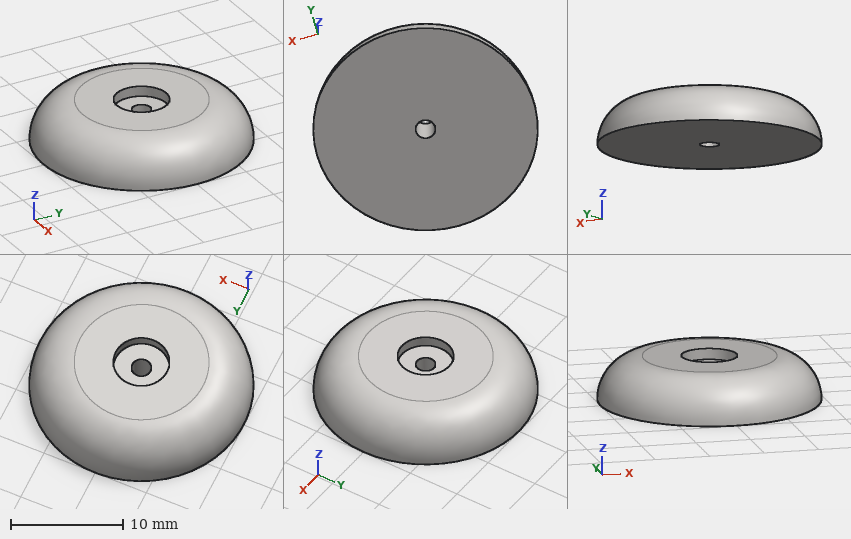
import cadquery as cq

outer_diameter = 20
height = 4
screw_hole_diameter = 1.75
counterbore_diameter = 5
counterbore_depth = 1

outer_radius = outer_diameter / 2
edge_radius = height
flat_top_radius = outer_radius - edge_radius


def rounded_disc():
    """Revolve the half section, whose edge is a quarter circle, about Z."""
    arc_rise = edge_radius * 0.5 ** 0.5
    return (
        cq.Workplane("XZ")
        .lineTo(outer_radius, 0)
        .threePointArc((flat_top_radius + arc_rise, arc_rise), (flat_top_radius, height))
        .lineTo(0, height)
        .close()
        .revolve(360, (0, 0), (0, 1))
    )


result = (
    rounded_disc()
    .faces(">Z")
    .workplane(origin=(0, 0, height))
    .cboreHole(screw_hole_diameter, counterbore_diameter, counterbore_depth)
)